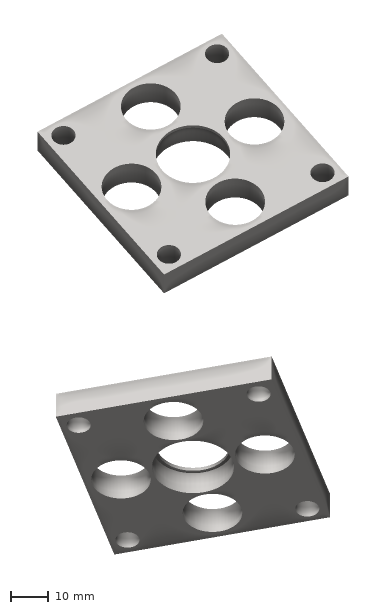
import cadquery as cq

side = 60.0
thickness = 8.0

lip_diameter = 20.0
recess_diameter = 22.0
lip_height = 1.0

large_hole_diameter = 16.0
large_hole_offset = side / 3

corner_hole_diameter = 6.5
corner_hole_spacing = 50.0


def plate():
    return cq.Workplane("XY").box(side, side, thickness, centered=(True, True, False))


def cut_central_bore(body):
    recess_depth = thickness - lip_height
    recess = cq.Workplane("XY").circle(recess_diameter / 2).extrude(recess_depth)
    return body.faces(">Z").workplane().hole(lip_diameter).cut(recess)


def cut_large_holes(body):
    return (
        body.faces(">Z").workplane(origin=(0, 0, thickness))
        .polarArray(large_hole_offset, 0, 360, 4)
        .hole(large_hole_diameter)
    )


def cut_corner_holes(body):
    return (
        body.faces(">Z").workplane(origin=(0, 0, thickness))
        .rarray(corner_hole_spacing, corner_hole_spacing, 2, 2)
        .hole(corner_hole_diameter)
    )


result = cut_corner_holes(cut_large_holes(cut_central_bore(plate())))